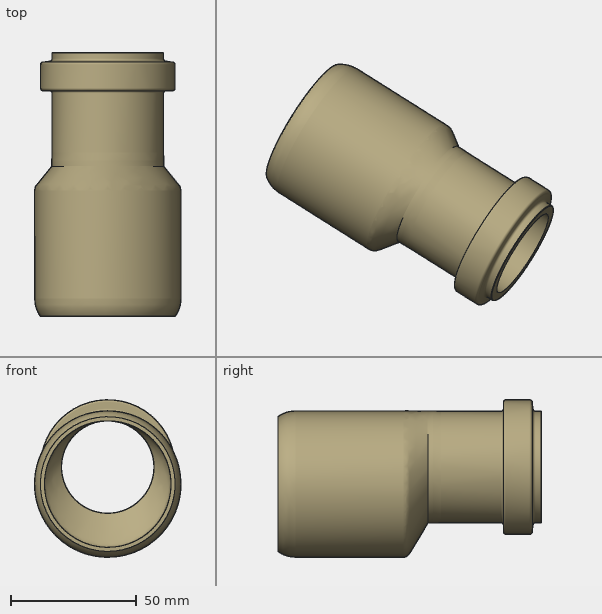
import cadquery as cq
import math

total_length = 104.7

pipe_diameter = 44.4
end_face_diameter = 44.0
end_chamfer_length = 0.2
pipe_bore = 36.6
neck_diameter = 44.6
neck_taper_start = 39.8
neck_taper_end = 42.9
neck_end = 45.1

collar_diameter = 53.5
collar_start = 3.7
collar_end = 15.2
collar_edge_radius = 1.0
collar_root_radius = 0.9
skirt_diameter = 50.3
skirt_height = 0.3

wide_diameter = 58.2
wide_bore = 50.3
wide_start = 54.8
overall_height = 62.6
wide_axis_z = collar_diameter / 2 + wide_diameter / 2 - overall_height
nose_start = 97.7
nose_diameter = 53.5
nose_arc_sag = 0.6

shoulder_start = 51.7
cone_steps = 6
shoulder_steps = 4
cone_virtual_end = 53.24


def cylinder(diameter, start, end, axis_z=0.0):
    """Cylinder along Y between two depths."""
    plane = cq.Plane((0, -start, axis_z), xDir=(1, 0, 0), normal=(0, -1, 0))
    return cq.Workplane(plane).circle(diameter / 2).extrude(end - start)


def ring_wire(diameter, depth, axis_z):
    """Circle square to the Y axis at the given depth."""
    centre = cq.Vector(0, -depth, axis_z)
    return cq.Wire.makeCircle(diameter / 2, centre, cq.Vector(0, -1, 0))


def transition_fractions():
    """Depths, each with the fraction of the change from narrow to wide circle."""
    straight = (shoulder_start - neck_end) / (cone_virtual_end - neck_end)
    sections = []
    for step in range(cone_steps):
        s = step / cone_steps
        sections.append((neck_end + s * (shoulder_start - neck_end), s * straight))
    for step in range(shoulder_steps + 1):
        s = step / shoulder_steps
        depth = ((1 - s) ** 2 * shoulder_start + 2 * s * (1 - s) * cone_virtual_end
                 + s ** 2 * wide_start)
        fraction = 1 - (1 - s) ** 2 * (1 - straight)
        sections.append((depth, fraction))
    return sections


def transition(narrow, wide):
    """Oblique cone with rounded shoulder joining two offset circles."""
    rings = []
    for depth, fraction in transition_fractions():
        diameter = narrow + fraction * (wide - narrow)
        rings.append(ring_wire(diameter, depth, fraction * wide_axis_z))
    return cq.Workplane(obj=cq.Solid.makeLoft(rings))


def narrow_end():
    """Narrow pipe with rounded collar and slightly flared neck, revolved about Y."""
    pipe_r = pipe_diameter / 2
    collar_r = collar_diameter / 2
    skirt_start = collar_start - skirt_height
    edge = collar_edge_radius
    root = collar_root_radius
    diagonal = 1 - math.sqrt(0.5)
    profile = (
        cq.Workplane("XY")
        .lineTo(end_face_diameter / 2, 0)
        .lineTo(pipe_r, -end_chamfer_length)
        .lineTo(pipe_r, -(skirt_start - root))
        .threePointArc((pipe_r + root * diagonal, -(skirt_start - root * diagonal)),
                       (pipe_r + root, -skirt_start))
        .lineTo(skirt_diameter / 2, -collar_start)
        .lineTo(collar_r - edge, -collar_start)
        .threePointArc((collar_r - edge * diagonal, -(collar_start + edge * diagonal)),
                       (collar_r, -(collar_start + edge)))
        .lineTo(collar_r, -(collar_end - edge))
        .threePointArc((collar_r - edge * diagonal, -(collar_end - edge * diagonal)),
                       (collar_r - edge, -collar_end))
        .lineTo(pipe_r + root, -collar_end)
        .threePointArc((pipe_r + root * diagonal, -(collar_end + root * diagonal)),
                       (pipe_r, -(collar_end + root)))
        .lineTo(pipe_r, -neck_taper_start)
        .lineTo(neck_diameter / 2, -neck_taper_end)
        .lineTo(neck_diameter / 2, -neck_end)
        .lineTo(0, -neck_end)
        .close()
    )
    return profile.revolve(360, (0, 0, 0), (0, 1, 0))


def wide_end():
    """Wide pipe with a curved nose, revolved about its own axis."""
    wide_r = wide_diameter / 2
    nose_r = nose_diameter / 2
    nose_middle = ((wide_r + nose_r) / 2 + nose_arc_sag, -(nose_start + total_length) / 2)
    profile = (
        cq.Workplane("XY")
        .moveTo(0, -wide_start)
        .lineTo(wide_r, -wide_start)
        .lineTo(wide_r, -nose_start)
        .threePointArc(nose_middle, (nose_r, -total_length))
        .lineTo(0, -total_length)
        .close()
    )
    return profile.revolve(360, (0, 0, 0), (0, 1, 0)).translate((0, 0, wide_axis_z))


outer = narrow_end().union(transition(neck_diameter, wide_diameter)).union(wide_end())

passage = (
    cylinder(pipe_bore, 0, neck_end)
    .union(transition(pipe_bore, wide_bore))
    .union(cylinder(wide_bore, wide_start, total_length, wide_axis_z))
)

result = outer.cut(passage)